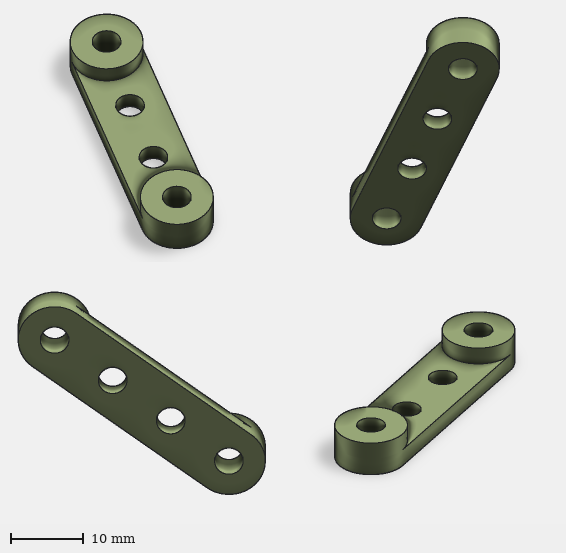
import cadquery as cq

length = 40.0
width = 10.0
height = 5.0

hole_diameter = 3.9
hole_count = 4

bar_thickness = height / 2
end_spacing = length - width
hole_pitch = end_spacing / (hole_count - 1)
end_centers = [(-end_spacing / 2, 0), (end_spacing / 2, 0)]
hole_centers = [(-end_spacing / 2 + i * hole_pitch, 0) for i in range(hole_count)]

bar = cq.Workplane("XY").slot2D(length, width).extrude(bar_thickness)

bosses = (
    cq.Workplane("XY")
    .workplane(offset=bar_thickness)
    .pushPoints(end_centers)
    .circle(width / 2)
    .extrude(height - bar_thickness)
)

holes = (
    cq.Workplane("XY")
    .pushPoints(hole_centers)
    .circle(hole_diameter / 2)
    .extrude(height)
)

result = bar.union(bosses).cut(holes)